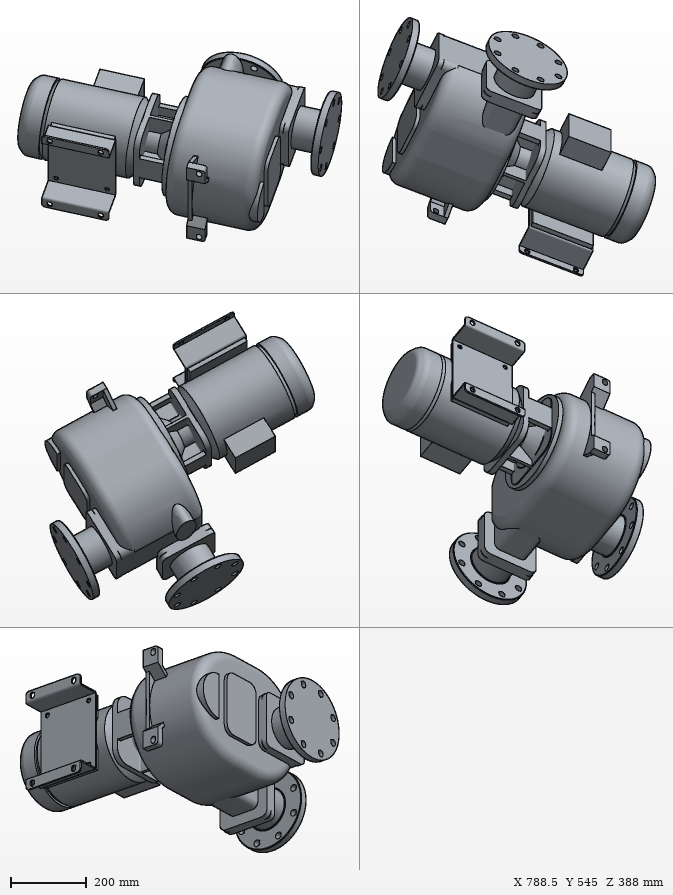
import cadquery as cq
import math


motor_radius = 110.0
motor_front_x = 323.0
rear_chamfer = 20.0
rear_round = 20.0
front_taper_length = 19.0
front_taper_drop = 18.0
groove_x = 65.0
groove_width = 10.0
groove_depth = 7.0
terminal_box_x = (158.5, 281.0)
terminal_box_top_y = 153.0
terminal_box_width = 119.0

lantern_half_size = 100.0
lantern_plate_thickness = 16.5
lantern_corner_radius = 41.0
lantern_seat_thickness = 3.0
lantern_fillet = 3.0
rib_thickness = 8.0
side_plate_width = 78.0
side_plate_thickness = 13.0
hub_radius = 43.0
hub_length = 33.0
cone_end_radius = 80.0
pump_disc_radius = 135.0

casing_x = 424.0
casing_length = 247.5
casing_radius = 167.0
casing_z = -17.0
casing_centre_distance = 90.5
casing_flat_y = 245.0
casing_round = 30.0
casing_end_x = casing_x + casing_length
pump_disc_thickness = 13.0
disc_x = casing_x - pump_disc_thickness

flange_radius = 114.0
flange_chamfer = 2.0
flange_thickness = 21.0
weld_collar_radius = 61.0
weld_collar_length = 2.0
pipe_radius = 58.0
bolt_circle_radius = 95.25
bolt_hole_diameter = 19.0
bolt_count = 8
block_size = 160.5
block_cap_thickness = 15.0
block_cap_corner = 16.0
block_base_corner = 20.0
overall_length = 788.5
overall_width = 545.0
suction_y = 164.5
suction_block_x = 697.5
suction_base_x = casing_end_x - casing_round
discharge_x = 492.5
discharge_z = -124.0
discharge_end_y = 364.5
discharge_block_y = 273.5
discharge_base_y = 241.5
neck_half_width = 49.0
neck_round = 19.0
neck_length = 120.0

nub_width = 61.0
nub_z = (-21.0, 107.5)
nub_end_y = 259.5
cover_projection = 10.0
cover_width = 122.0
cover_height = 182.0
cover_corner = 27.0
drain_boss_radius = 65.5
drain_boss_flat_y = -96.0

foot_plane_y = discharge_end_y - overall_width
foot_half_height = 145.0
foot_hole_z = 129.5

bracket_x = (93.0, 278.0)
bracket_sheet = 4.5
bracket_plate_y = -112.5
bracket_leg_z = 115.0
bracket_bend_radius = 6.0
bracket_lip_corner = 11.0
bracket_hole_x = (115.0, 255.5)
bracket_slot_length = 18.0
bracket_slot_width = 14.0
bracket_screw_diameter = 13.0
bracket_screw_z = 94.5
pad_x = (98.0, 273.0)
pad_inner_y = -100.0
pad_height = 220.0

foot_web_x = 492.0
foot_web_thickness = 11.5
foot_width = 50.5
foot_web_face_y = -168.5
foot_lower_z = 94.5
foot_top_length = 20.0
foot_arm_slope = 0.88
foot_arm_reach = 45.0
foot_root_y = -108.0
foot_root_z = 112.0
foot_corner = 9.0
foot_slot_x = 526.5
foot_slot_length = 20.0
foot_slot_width = 15.0

overlap = 5.0
pick_margin = 1.0


def box(x_range, y_range, z_range):
    """Axis-aligned box from its limits."""
    size = [high - low for low, high in (x_range, y_range, z_range)]
    corner = (x_range[0], y_range[0], z_range[0])
    return cq.Workplane("XY").box(*size, centered=False).translate(corner)


def make_motor():
    """Turned motor shell with a rounded rear, a tapered front, a fan groove and a terminal box."""
    shell = (
        cq.Workplane("XY")
        .moveTo(0, 0)
        .lineTo(0, motor_radius - rear_chamfer)
        .lineTo(rear_chamfer, motor_radius)
        .lineTo(groove_x, motor_radius)
        .lineTo(groove_x, motor_radius - groove_depth)
        .lineTo(groove_x + groove_width, motor_radius)
        .lineTo(motor_front_x - front_taper_length, motor_radius)
        .lineTo(motor_front_x, motor_radius - front_taper_drop)
        .lineTo(motor_front_x, 0)
        .close()
        .revolve(360, (0, 0, 0), (1, 0, 0))
    )
    chamfer_edges = cq.selectors.BoxSelector(
        (-pick_margin, -2 * motor_radius, -2 * motor_radius),
        (rear_chamfer + pick_margin, 2 * motor_radius, 2 * motor_radius),
        boundingbox=True,
    )
    shell = shell.edges(chamfer_edges).edges("%CIRCLE").fillet(rear_round)
    half_box = terminal_box_width / 2
    terminal_box = box(terminal_box_x, (0, terminal_box_top_y), (-half_box, half_box))
    return shell.union(terminal_box)


def make_lantern_plate(x, thickness):
    """Rounded square plate at one end of the lantern."""
    return (
        cq.Workplane("YZ", origin=(x, 0, 0))
        .rect(2 * lantern_half_size, 2 * lantern_half_size)
        .extrude(thickness)
        .edges("|X")
        .fillet(lantern_corner_radius)
    )


def make_lantern():
    """Square motor plate, hub with cone, crossed ribs, side plates and pump disc."""
    plate_end = motor_front_x + lantern_plate_thickness
    rear_plate = make_lantern_plate(motor_front_x, lantern_plate_thickness)
    front_plate = make_lantern_plate(disc_x - lantern_seat_thickness, lantern_seat_thickness)
    lantern = rear_plate.union(front_plate)
    cone_start = plate_end + hub_length
    hub = (
        cq.Workplane("XY")
        .moveTo(motor_front_x, 0)
        .lineTo(motor_front_x, hub_radius)
        .lineTo(cone_start, hub_radius)
        .lineTo(disc_x, cone_end_radius)
        .lineTo(disc_x, 0)
        .close()
        .revolve(360, (0, 0, 0), (1, 0, 0))
    )
    lantern = lantern.union(hub)

    span = (plate_end - overlap, disc_x + overlap)
    half_rib = rib_thickness / 2
    full = (-lantern_half_size, lantern_half_size)
    lantern = lantern.union(box(span, (-half_rib, half_rib), full))
    lantern = lantern.union(box(span, full, (-half_rib, half_rib)))
    half_side = side_plate_width / 2
    inner = lantern_half_size - side_plate_thickness
    for y_range in ((inner, lantern_half_size), (-lantern_half_size, -inner)):
        lantern = lantern.union(box(span, y_range, (-half_side, half_side)))
    root_z = lantern_half_size - lantern_corner_radius / 2
    for plate_face_x in (plate_end, disc_x - lantern_seat_thickness):
        root_edges = cq.selectors.BoxSelector(
            (plate_face_x - pick_margin, -inner - pick_margin, -root_z),
            (plate_face_x + pick_margin, inner + pick_margin, root_z),
        )
        lantern = lantern.edges(root_edges).fillet(lantern_fillet)
    pump_disc = (
        cq.Workplane("YZ", origin=(disc_x, 0, 0))
        .circle(pump_disc_radius)
        .extrude(pump_disc_thickness + overlap)
    )
    return lantern.union(pump_disc)


def make_casing():
    """Obround casing cut flat at the discharge side, with rounded rims."""
    obround = (
        cq.Workplane("YZ", origin=(casing_x, casing_centre_distance / 2, casing_z))
        .slot2D(casing_centre_distance + 2 * casing_radius, 2 * casing_radius)
        .extrude(casing_length)
    )
    keep = box(
        (casing_x, casing_end_x),
        (-2 * casing_radius, casing_flat_y),
        (-2 * casing_radius, 2 * casing_radius),
    )
    return obround.intersect(keep).faces("<X or >X").edges().fillet(casing_round)


def make_connection(end_height, block_height, base_height):
    """Connection along local +Z: stepped square block, pipe, collar and drilled flange."""
    cap_start = block_height - block_cap_thickness
    base = (
        cq.Workplane("XY", origin=(0, 0, base_height))
        .rect(block_size, block_size)
        .extrude(cap_start - base_height)
        .edges("|Z")
        .fillet(block_base_corner)
    )
    cap = (
        cq.Workplane("XY", origin=(0, 0, cap_start))
        .rect(block_size, block_size)
        .extrude(block_cap_thickness)
        .edges("|Z")
        .fillet(block_cap_corner)
    )
    flange_start = end_height - flange_thickness
    pipe = (
        cq.Workplane("XY", origin=(0, 0, base_height))
        .circle(pipe_radius)
        .extrude(end_height - base_height)
    )
    collar = (
        cq.Workplane("XY", origin=(0, 0, flange_start - weld_collar_length))
        .circle(weld_collar_radius)
        .extrude(weld_collar_length + flange_thickness)
    )
    flange = (
        cq.Workplane("XY", origin=(0, 0, flange_start))
        .circle(flange_radius)
        .extrude(flange_thickness)
        .faces("<Z")
        .chamfer(flange_chamfer)
    )
    bolt_holes = (
        cq.Workplane("XY", origin=(0, 0, flange_start))
        .polarArray(bolt_circle_radius, 180 / bolt_count, 360, bolt_count)
        .circle(bolt_hole_diameter / 2)
        .extrude(flange_thickness)
    )
    return base.union(cap).union(pipe).union(collar).union(flange.cut(bolt_holes))


def make_suction():
    """Connection pointing toward +X."""
    connection = make_connection(overall_length, suction_block_x, suction_base_x)
    return connection.rotate((0, 0, 0), (0, 1, 0), 90).translate((0, suction_y, casing_z))


def make_discharge():
    """Connection pointing toward +Y, with a rounded neck leading into the casing."""
    connection = make_connection(discharge_end_y, discharge_block_y, discharge_base_y)
    neck = (
        cq.Workplane("XY", origin=(0, 0, discharge_base_y - neck_length))
        .rect(2 * neck_half_width, 2 * neck_half_width)
        .extrude(neck_length + overlap)
        .edges("|Z")
        .fillet(neck_round)
    )
    connection = connection.union(neck)
    return connection.rotate((0, 0, 0), (1, 0, 0), -90).translate((discharge_x, 0, discharge_z))


def make_nub():
    """Elliptic nub standing out of the casing toward +Y."""
    start_y = casing_centre_distance
    height = nub_z[1] - nub_z[0]
    return (
        cq.Workplane("XZ", origin=(discharge_x, nub_end_y, sum(nub_z) / 2))
        .ellipse(nub_width / 2, height / 2)
        .extrude(nub_end_y - start_y)
    )


def make_end_covers():
    """Rounded cover plate and half-round drain boss on the +X end of the casing."""
    cover = (
        cq.Workplane("YZ", origin=(casing_end_x - overlap, 0, casing_z))
        .rect(cover_width, cover_height)
        .extrude(cover_projection + overlap)
        .edges("|X")
        .fillet(cover_corner)
    )
    boss = (
        cq.Workplane("YZ", origin=(casing_end_x - casing_round, drain_boss_flat_y, casing_z))
        .moveTo(0, drain_boss_radius)
        .threePointArc((-drain_boss_radius, 0), (0, -drain_boss_radius))
        .close()
        .extrude(casing_round + cover_projection)
    )
    return cover.union(boss)


def slot_cutter(x, z, length, width, depth):
    """Upright slot cutter reaching from the foot plane toward +Y."""
    return (
        cq.Workplane("XZ", origin=(x, foot_plane_y + depth, z))
        .slot2D(length, width, 90)
        .extrude(depth)
    )


def make_bracket_leg():
    """Upper bent leg of the motor bracket with its slotted lip."""
    length = bracket_x[1] - bracket_x[0]
    inner_leg_z = bracket_leg_z - bracket_sheet
    lip_y = foot_plane_y + bracket_sheet
    leg = (
        cq.Workplane("YZ", origin=(bracket_x[0], 0, 0))
        .moveTo(bracket_plate_y, inner_leg_z)
        .lineTo(bracket_plate_y, bracket_leg_z)
        .lineTo(lip_y, bracket_leg_z)
        .lineTo(lip_y, foot_half_height)
        .lineTo(foot_plane_y, foot_half_height)
        .lineTo(foot_plane_y, inner_leg_z)
        .close()
        .extrude(length)
    )
    leg = leg.edges("|X and <Y and <Z").fillet(bracket_bend_radius)
    leg = leg.edges("|Y and >Z").fillet(bracket_lip_corner)
    for x in bracket_hole_x:
        slot = slot_cutter(x, foot_hole_z, bracket_slot_length, bracket_slot_width, bracket_sheet)
        leg = leg.cut(slot)
    return leg


def make_motor_bracket():
    """Sheet bracket carrying the motor, with a spacer pad behind it."""
    half_pad = pad_height / 2
    pad = box(pad_x, (bracket_plate_y, pad_inner_y), (-half_pad, half_pad))
    plate_outer_y = bracket_plate_y - bracket_sheet
    plate = box(bracket_x, (plate_outer_y, bracket_plate_y), (-bracket_leg_z, bracket_leg_z))
    leg = make_bracket_leg()
    bracket = plate.union(leg).union(leg.mirror("XY"))
    bracket = bracket.faces(">Y").edges("|X").fillet(bracket_bend_radius)
    for x in bracket_hole_x:
        for z in (-bracket_screw_z, bracket_screw_z):
            hole = (
                cq.Workplane("XZ", origin=(x, bracket_plate_y, z))
                .circle(bracket_screw_diameter / 2)
                .extrude(bracket_sheet)
            )
            bracket = bracket.cut(hole)
    return bracket.union(pad)


def make_foot_pad():
    """Upper slotted pad of the casing foot with the sloping arm that joins it to the casing."""
    back_y = foot_plane_y + foot_top_length
    root_y = foot_plane_y + foot_arm_reach
    arm_rise = foot_web_thickness / math.cos(math.atan(foot_arm_slope))
    back_z = foot_lower_z + arm_rise - foot_arm_slope * foot_top_length
    root_drop = foot_arm_slope * foot_arm_reach
    pad = (
        cq.Workplane("YZ", origin=(foot_web_x, 0, 0))
        .moveTo(foot_plane_y, foot_lower_z)
        .lineTo(foot_plane_y, foot_half_height)
        .lineTo(back_y, foot_half_height)
        .lineTo(back_y, back_z)
        .lineTo(root_y, foot_lower_z + arm_rise - root_drop)
        .lineTo(root_y, foot_lower_z - root_drop)
        .close()
        .extrude(foot_width)
    )
    pad = pad.edges("|Y and >X and >Z").fillet(foot_corner)
    slot = slot_cutter(
        foot_slot_x, foot_hole_z, foot_slot_length, foot_slot_width, foot_top_length
    )
    return pad.cut(slot)


def make_casing_foot():
    """Upright web across the casing with a pad at each end."""
    top_y = foot_plane_y + foot_top_length
    notch_z = foot_lower_z - foot_arm_slope * (foot_web_face_y - foot_plane_y)
    web = (
        cq.Workplane("YZ", origin=(foot_web_x, 0, 0))
        .moveTo(foot_root_y, -foot_root_z)
        .lineTo(top_y, -foot_half_height)
        .lineTo(foot_plane_y, -foot_half_height)
        .lineTo(foot_plane_y, -foot_lower_z)
        .lineTo(foot_web_face_y, -notch_z)
        .lineTo(foot_web_face_y, notch_z)
        .lineTo(foot_plane_y, foot_lower_z)
        .lineTo(foot_plane_y, foot_half_height)
        .lineTo(top_y, foot_half_height)
        .lineTo(foot_root_y, foot_root_z)
        .close()
        .extrude(foot_web_thickness)
    )
    pad = make_foot_pad()
    return web.union(pad).union(pad.mirror("XY"))


result = (
    make_casing()
    .union(make_lantern())
    .union(make_motor())
    .union(make_suction())
    .union(make_discharge())
    .union(make_nub())
    .union(make_end_covers())
    .union(make_motor_bracket())
    .union(make_casing_foot())
)